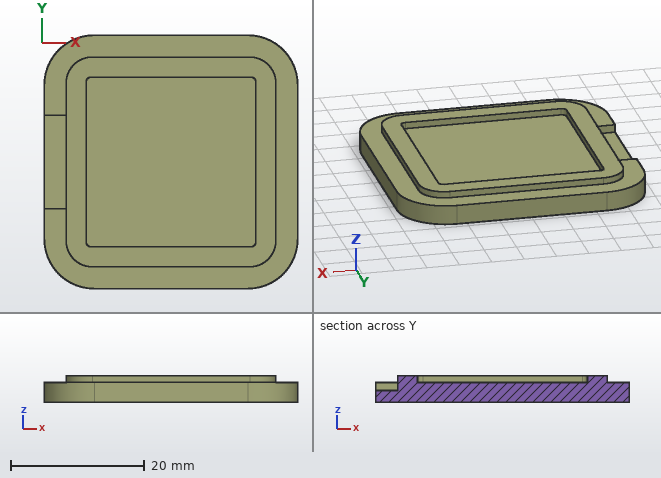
import cadquery as cq

base_side = 38.1
base_height = 3.0
base_corner_radius = 7.5

rim_side = 31.5
rim_height = 1.0
rim_corner_radius = 3.9

rim_width = 3.0
pocket_side = rim_side - 2 * rim_width
pocket_depth = rim_height
pocket_corner_radius = 0.75

notch_length = 14.0
notch_depth = 1.2
notch_reach = (base_side - rim_side) / 2

total_height = base_height + rim_height


def rounded_square(side, height, corner_radius, bottom_z):
    """Square block centred on Z with rounded vertical edges."""
    block = cq.Workplane("XY").workplane(offset=bottom_z).rect(side, side).extrude(height)
    return block.edges("|Z").fillet(corner_radius)


def edge_notch():
    """Block removed from the top of the -X edge of the base."""
    block = cq.Workplane("XY").box(notch_reach, notch_length, notch_depth, centered=(False, True, False))
    return block.translate((-base_side / 2, 0, base_height - notch_depth))


base = rounded_square(base_side, base_height, base_corner_radius, 0)
rim = rounded_square(rim_side, rim_height, rim_corner_radius, base_height)
pocket = rounded_square(pocket_side, pocket_depth, pocket_corner_radius, total_height - pocket_depth)

result = base.union(rim).cut(pocket).cut(edge_notch())